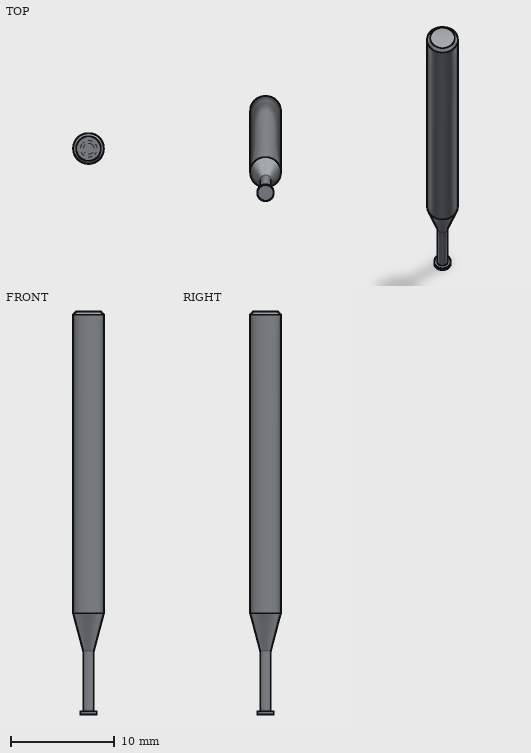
import cadquery as cq

TOTAL_LENGTH = 39.0
SHANK_DIAMETER = 3.0
SHANK_CHAMFER = 0.3
NECK_DIAMETER = 1.05
CUTTER_DIAMETER = 1.6
CUTTER_THICKNESS = 0.35
TAPER_START_HEIGHT = 6.15
TAPER_END_HEIGHT = 9.83


def make_shank():
    """Plain cylindrical shank with a chamfered rear end."""
    return (
        cq.Workplane("XY", origin=(0, 0, TAPER_END_HEIGHT))
        .circle(SHANK_DIAMETER / 2)
        .extrude(TOTAL_LENGTH - TAPER_END_HEIGHT)
        .faces(">Z")
        .chamfer(SHANK_CHAMFER)
    )


def make_neck():
    """Slim neck that widens through a cone to the shank diameter."""
    return (
        cq.Workplane("XZ")
        .moveTo(0, CUTTER_THICKNESS)
        .lineTo(NECK_DIAMETER / 2, CUTTER_THICKNESS)
        .lineTo(NECK_DIAMETER / 2, TAPER_START_HEIGHT)
        .lineTo(SHANK_DIAMETER / 2, TAPER_END_HEIGHT)
        .lineTo(0, TAPER_END_HEIGHT)
        .close()
        .revolve(360, (0, 0, 0), (0, 1, 0))
    )


def make_cutter():
    """Thin cutting disc at the tip of the neck."""
    return cq.Workplane("XY").circle(CUTTER_DIAMETER / 2).extrude(CUTTER_THICKNESS)


shank = make_shank()
neck = make_neck()
cutter = make_cutter()

result = cq.Compound.makeCompound([shank.val(), neck.val(), cutter.val()])